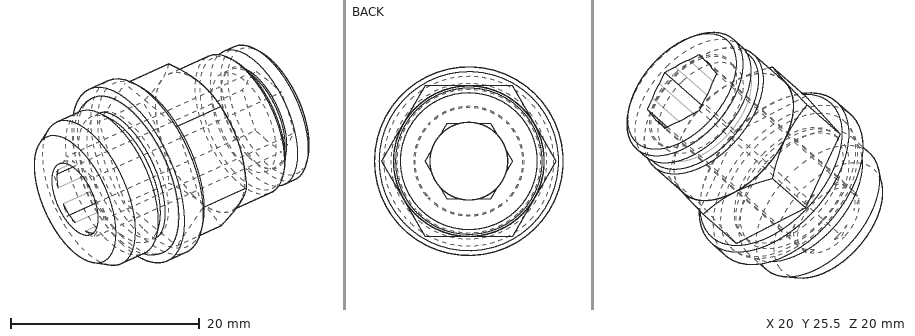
import cadquery as cq
import math

length = 25.5

bore_dia = 8.2
thread_dia = 16.5
thread_root_dia = 14.5
seal_ring_dia = 18.0
flange_dia = 20.0
body_dia = 15.9
cone_base_dia = 13.25
cone_top_dia = 11.63
neck_dia = 11.4
collar_dia = 15.5

tip_end = 1.84
thread_end = 4.85
root_start = 5.86
seal_ring_station = 6.94
flange_start = 7.0
flange_end = 10.0
hex_end = 16.5
body_end = 22.08
cone_end = 22.25
collar_start = 23.6

flange_chamfer = 0.5
body_chamfer = 0.35
collar_chamfer = 0.5
neck_chamfer = 0.13

wrench_flats = 16.0
wrench_chamfer_angle = 30.0

key_flats = 8.0
key_lip = 0.7


def cross_section(y):
    """Plane square to the axis at the given station, facing +Y."""
    return cq.Workplane(cq.Plane(origin=(0, y, 0), xDir=(1, 0, 0), normal=(0, 1, 0)))


def hex_prism(flats, y_start, y_end):
    """Hexagonal prism along Y with two corners on the X axis."""
    corner_dia = flats / math.cos(math.pi / 6)
    outline = cross_section(y_start).polygon(6, corner_dia)
    return outline.extrude(y_end - y_start)


def revolve_y(profile):
    """Revolve a closed half profile in the XY plane about the Y axis."""
    return profile.close().revolve(360, (0, 0, 0), (0, 1, 0))


def threaded_end():
    """Plain thread envelope with a tapered tip, the undercut and the seal ring."""
    ring_section = (seal_ring_dia - thread_root_dia) / 4
    ring_middle = thread_root_dia / 2 + ring_section
    return revolve_y(
        cq.Workplane("XY")
        .lineTo(thread_root_dia / 2, 0)
        .lineTo(thread_dia / 2, tip_end)
        .lineTo(thread_dia / 2, thread_end)
        .lineTo(thread_root_dia / 2, root_start)
        .lineTo(thread_root_dia / 2, seal_ring_station)
        .threePointArc(
            (ring_middle, seal_ring_station - ring_section),
            (seal_ring_dia / 2, seal_ring_station),
        )
        .lineTo(seal_ring_dia / 2, flange_start)
        .lineTo(0, flange_start)
    )


def flange():
    """Sealing flange with a chamfer on the wrench side."""
    disc = cross_section(flange_start).circle(flange_dia / 2).extrude(flange_end - flange_start)
    return disc.faces(">Y").edges().chamfer(flange_chamfer)


def wrench_hex():
    """Hexagon whose free corners are turned off by a cone touching the flats."""
    cone_slope = math.tan(math.radians(wrench_chamfer_angle))
    cone_height = (flange_dia - wrench_flats) / 2 * cone_slope
    turned_blank = revolve_y(
        cq.Workplane("XY")
        .moveTo(0, flange_end)
        .lineTo(flange_dia / 2, flange_end)
        .lineTo(flange_dia / 2, hex_end - cone_height)
        .lineTo(wrench_flats / 2, hex_end)
        .lineTo(0, hex_end)
    )
    return hex_prism(wrench_flats, flange_end, hex_end).intersect(turned_blank)


def collar_end():
    """Round body, low end cone, neck and release collar."""
    neck_radius = neck_dia / 2
    return revolve_y(
        cq.Workplane("XY")
        .moveTo(0, hex_end)
        .lineTo(body_dia / 2, hex_end)
        .lineTo(body_dia / 2, body_end - body_chamfer)
        .lineTo(body_dia / 2 - body_chamfer, body_end)
        .lineTo(cone_base_dia / 2, body_end)
        .lineTo(cone_top_dia / 2, cone_end)
        .lineTo(neck_radius, cone_end)
        .lineTo(neck_radius, collar_start - neck_chamfer)
        .lineTo(neck_radius + neck_chamfer, collar_start)
        .lineTo(collar_dia / 2, collar_start)
        .lineTo(collar_dia / 2, length - collar_chamfer)
        .lineTo(collar_dia / 2 - collar_chamfer, length)
        .lineTo(0, length)
    )


bore = cross_section(0).circle(bore_dia / 2).extrude(length)
key_socket = hex_prism(key_flats, key_lip, length)

result = (
    threaded_end()
    .union(flange())
    .union(wrench_hex())
    .union(collar_end())
    .cut(bore)
    .cut(key_socket)
)